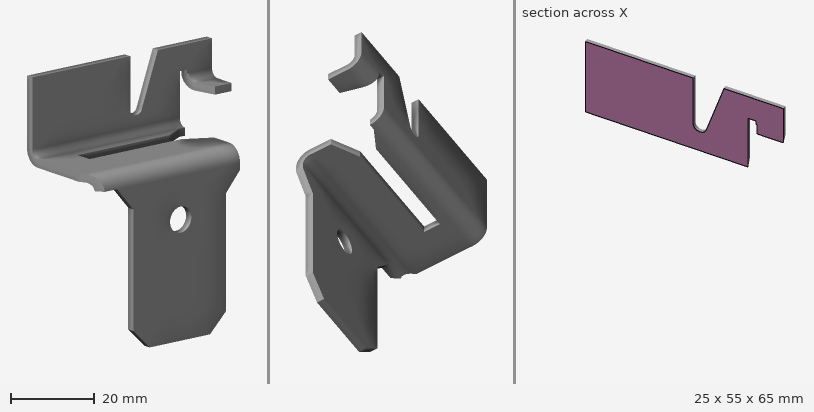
import cadquery as cq

thickness = 2.0
inner_radius = 2.0
outer_radius = inner_radius + thickness
width = 25.0
length = 55.0
height = 65.0

body_length = 45.1
web_bottom = 43.0
web_top = web_bottom + thickness
upper_bend_top = web_bottom + outer_radius
lower_bend_bottom = web_top - outer_radius
lower_bend_start = width - outer_radius

arm_bottom = 58.55
hook_front = 47.2
hook_bottom = 53.55
hook_bend_top = hook_bottom + outer_radius
hook_reach = 9.5
hook_bend_front = 48.5
hook_tip_front = 49.9

notch_front = 29.95
notch_floor_back = 33.1
notch_top_back = 38.4
notch_floor = 50.05
notch_radius = 1.6

slot_left = 6.9
slot_right = 11.4
slot_front = 10.0
flare_front = 38.0
flare_width = 3.8
flare_slope = flare_width / (body_length - flare_front)
left_flare_width = slot_left - outer_radius
left_flare_back = flare_front + left_flare_width / flare_slope

corner_width = 4.95
corner_length = 3.7

tab_front = 12.55
tab_back = 40.9
tab_chamfer = 4.95
front_shoulder = 7.55
front_taper_bottom = 35.1
back_taper_top = 39.2
back_taper_bottom = 34.2
hole_diameter = 6.5
hole_y = 27.0
hole_z = 30.0


def prism_x(points, x_start, depth):
    """Extrude a (Y, Z) outline along +X."""
    return cq.Workplane("YZ", origin=(x_start, 0, 0)).polyline(points).close().extrude(depth)


def prism_z(points, z_start, depth):
    """Extrude an (X, Y) outline along +Z."""
    return cq.Workplane("XY", origin=(0, 0, z_start)).polyline(points).close().extrude(depth)


def bent_flange(reach, bottom, y_start, y_end):
    """A bend from the vertical wall at X = 0 into a horizontal flange, running along Y."""
    bend_top = bottom + outer_radius
    return (
        cq.Workplane("XZ", origin=(0, y_end, 0))
        .moveTo(0, bend_top)
        .radiusArc((outer_radius, bottom), -outer_radius)
        .lineTo(reach, bottom)
        .lineTo(reach, bottom + thickness)
        .lineTo(outer_radius, bottom + thickness)
        .radiusArc((thickness, bend_top), inner_radius)
        .close()
        .extrude(y_end - y_start)
    )


def upper_wall():
    outline = [
        (0, upper_bend_top),
        (body_length, upper_bend_top),
        (body_length, arm_bottom),
        (hook_front, arm_bottom),
        (hook_front, hook_bend_top),
        (length, hook_bend_top),
        (length, height),
        (0, height),
    ]
    notch = prism_x(
        [
            (notch_front, height),
            (notch_front, notch_floor),
            (notch_floor_back, notch_floor),
            (notch_top_back, height),
        ],
        0,
        thickness,
    )
    notch = notch.faces("<Z").edges("|X").fillet(notch_radius)
    return prism_x(outline, 0, thickness).cut(notch)


def hook():
    outline = [
        (0, hook_front),
        (outer_radius, hook_bend_front),
        (hook_reach, hook_tip_front),
        (hook_reach, length),
        (0, length),
    ]
    flange = bent_flange(hook_reach, hook_bottom, hook_front, length)
    return flange.intersect(prism_z(outline, hook_bottom, outer_radius))


def web():
    flange = bent_flange(lower_bend_start, web_bottom, 0, body_length)
    slot = prism_z(
        [
            (slot_left, slot_front),
            (slot_right, slot_front),
            (slot_right, flare_front),
            (slot_right + flare_width, body_length),
            (outer_radius, body_length),
            (outer_radius, left_flare_back),
            (slot_left, flare_front),
        ],
        web_bottom,
        thickness,
    )
    return flange.cut(slot)


def lower_bend():
    return (
        cq.Workplane("XZ", origin=(0, body_length, 0))
        .moveTo(lower_bend_start, web_top)
        .radiusArc((width, lower_bend_bottom), outer_radius)
        .lineTo(width - thickness, lower_bend_bottom)
        .radiusArc((lower_bend_start, web_bottom), -inner_radius)
        .close()
        .extrude(body_length)
    )


def lower_tab():
    outline = [
        (front_shoulder, lower_bend_bottom),
        (tab_front, front_taper_bottom),
        (tab_front, tab_chamfer),
        (tab_front + tab_chamfer, 0),
        (tab_back - tab_chamfer, 0),
        (tab_back, tab_chamfer),
        (tab_back, back_taper_bottom),
        (body_length, back_taper_top),
        (body_length, lower_bend_bottom),
    ]
    hole = (
        cq.Workplane("YZ", origin=(width - thickness, 0, 0))
        .center(hole_y, hole_z)
        .circle(hole_diameter / 2)
        .extrude(thickness)
    )
    return prism_x(outline, width - thickness, thickness).cut(hole)


def front_corner():
    outline = [(width - corner_width, 0), (width, 0), (width, corner_length)]
    return prism_z(outline, lower_bend_bottom, outer_radius)


result = upper_wall().union(hook()).union(web()).union(lower_bend()).union(lower_tab()).cut(front_corner())